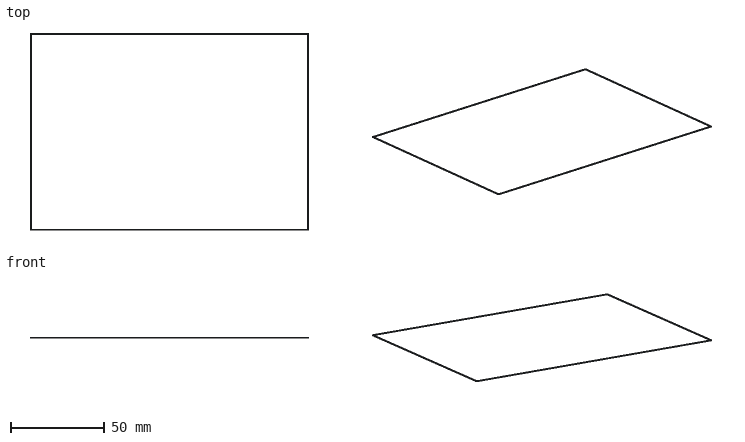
import cadquery as cq

length = 148.5
width = 105.0
thickness = 0.05

result = cq.Workplane("XY").box(length, width, thickness)